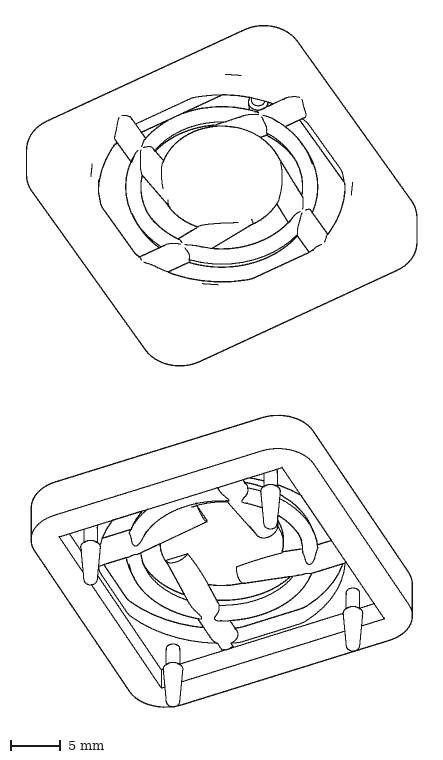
import cadquery as cq
import math

frame_side = 31.0
frame_height = 5.0
overall_height = 12.1
corner_radius = 4.0
edge_radius = 0.75

opening_radius = 12.45
opening_flat = 11.97
opening_corner_radius = 2.48

recess_half_width = 12.37
recess_depth = 2.5

hub_radius = 6.23
hub_edge_radius = 1.25
hub_rise = 1.98
dome_radius = 27.28
hub_drop = 0.3

ring_radius = 8.93
ring_width = 1.55
ring_height = 2.48
ring_round_radius = 0.5

spoke_radius = 1.3
spoke_overhang = 0.03
spoke_offset = hub_radius - spoke_radius + spoke_overhang
spoke_crest_gap = 0.03
spoke_bend = 7.45
spoke_slope = 0.2
spoke_outer_end = 12.25

pin_spacing = 19.95
pin_length = overall_height - frame_height - hub_rise
pin_radius = 1.0
pin_shoulder = 0.3
pin_tip_radius = 0.68
pin_tip_round = 0.43


def make_opening():
    disc = cq.Workplane("XY").circle(opening_radius).extrude(frame_height)
    square = cq.Workplane("XY").rect(2 * opening_flat, 2 * opening_flat).extrude(frame_height)
    return disc.intersect(square).edges("|Z").fillet(opening_corner_radius)


def make_frame():
    frame = cq.Workplane("XY").rect(frame_side, frame_side).extrude(frame_height)
    frame = frame.edges("|Z").fillet(corner_radius)
    frame = frame.cut(make_opening())
    frame = frame.faces(">Z").edges().fillet(edge_radius)
    recess = cq.Workplane("XY").rect(2 * recess_half_width, 2 * recess_half_width).extrude(recess_depth)
    return frame.cut(recess)


def make_hub():
    top = frame_height + hub_rise
    dome_center = top - dome_radius
    round_radius = hub_radius - hub_edge_radius
    round_height = dome_center + math.sqrt((dome_radius - hub_edge_radius) ** 2 - round_radius ** 2)
    lean = math.asin(round_radius / (dome_radius - hub_edge_radius))
    mid = (math.pi / 2 - lean) / 2

    def on_round(angle):
        return (
            round_radius + hub_edge_radius * math.cos(angle),
            round_height + hub_edge_radius * math.sin(angle),
        )

    def on_dome(angle):
        return (dome_radius * math.sin(angle), dome_center + dome_radius * math.cos(angle))

    profile = (
        cq.Workplane("XZ")
        .moveTo(0, frame_height - hub_drop)
        .lineTo(hub_radius, frame_height - hub_drop)
        .lineTo(hub_radius, round_height)
        .threePointArc(on_round(mid), on_round(2 * mid))
        .threePointArc(on_dome(lean / 2), (0, top))
        .close()
    )
    return profile.revolve(360, (0, 0, 0), (0, 1, 0))


def make_ring():
    middle = frame_height - ring_height / 2
    half_width = ring_width / 2
    round_offset = ring_height / 2 - ring_round_radius
    reach = math.hypot(half_width, round_offset)
    tangent_angle = math.acos(ring_round_radius / reach) - math.atan2(round_offset, half_width)
    side = ring_round_radius * math.cos(tangent_angle)
    shoulder = round_offset + ring_round_radius * math.sin(tangent_angle)
    profile = (
        cq.Workplane("XZ", origin=(0, 0, middle))
        .moveTo(ring_radius + half_width, 0)
        .lineTo(ring_radius + side, shoulder)
        .threePointArc((ring_radius, ring_height / 2), (ring_radius - side, shoulder))
        .lineTo(ring_radius - half_width, 0)
        .lineTo(ring_radius - side, -shoulder)
        .threePointArc((ring_radius, -ring_height / 2), (ring_radius + side, -shoulder))
        .close()
    )
    return profile.revolve(360, (0, 0, 0), (0, 1, 0))


def make_spoke():
    level = frame_height - spoke_crest_gap - spoke_radius
    path = (
        cq.Workplane("XZ", origin=(0, -spoke_offset, 0))
        .moveTo(-spoke_outer_end, level)
        .lineTo(-spoke_bend, level)
        .lineTo(0, level + spoke_bend * spoke_slope)
    )
    section = cq.Workplane("YZ", origin=(-spoke_outer_end, -spoke_offset, level)).circle(spoke_radius)
    return section.sweep(path, transition="right")


def make_pin():
    neck_radius = pin_radius - pin_shoulder
    end_radius = pin_tip_radius - pin_tip_round
    tip_start = pin_tip_round - pin_length
    diagonal = math.sqrt(0.5)
    tip_middle = (
        end_radius + pin_tip_round * diagonal,
        tip_start - pin_tip_round * diagonal,
    )
    profile = (
        cq.Workplane("XZ")
        .moveTo(0, recess_depth)
        .lineTo(neck_radius, recess_depth)
        .lineTo(neck_radius, 0)
        .lineTo(pin_radius, -pin_shoulder)
        .lineTo(pin_tip_radius, tip_start)
        .threePointArc(tip_middle, (end_radius, -pin_length))
        .lineTo(0, -pin_length)
        .close()
    )
    return profile.revolve(360, (0, 0, 0), (0, 1, 0))


result = make_frame().union(make_ring()).union(make_hub())
spoke = make_spoke()
for turn in range(4):
    result = result.union(spoke.rotate((0, 0, 0), (0, 0, 1), 90 * turn))

pin = make_pin()
for x in (-pin_spacing / 2, pin_spacing / 2):
    for y in (-pin_spacing / 2, pin_spacing / 2):
        result = result.union(pin.translate((x, y, 0)))